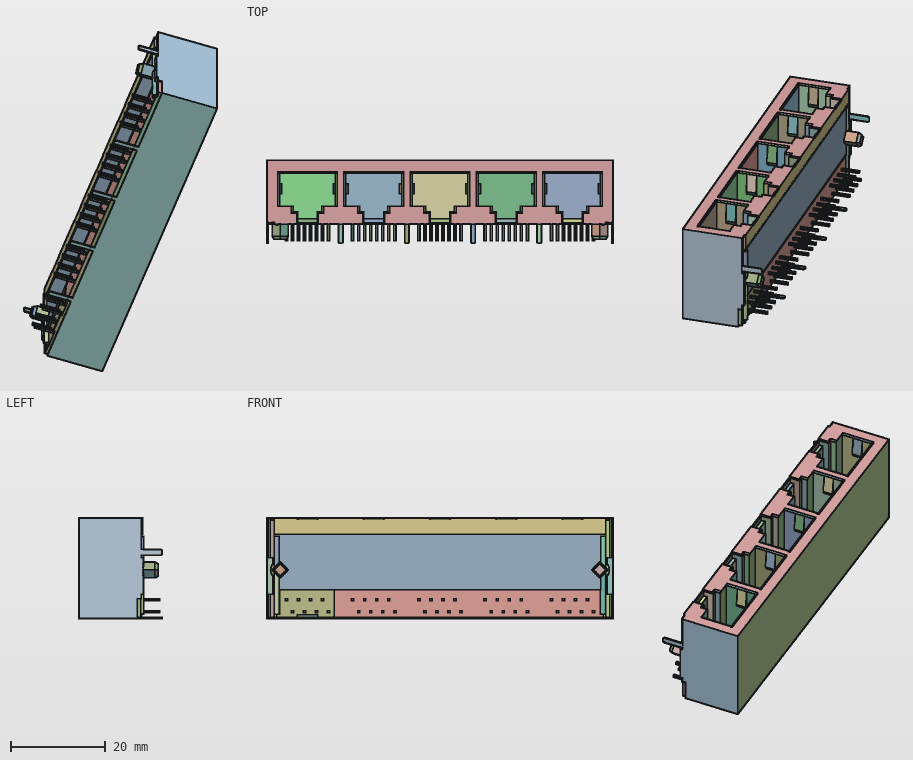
import cadquery as cq


LENGTH = 73.03
HEIGHT = 21.27
TOTAL_DEPTH = 17.55
BODY_DEPTH = 13.5
SHEET = 0.25
HALF_LENGTH = LENGTH / 2

PORT_COUNT = 5
PORT_PITCH = 13.97
PORT_DEPTH = 14.0
PORT_BACK = 2.5
PORT_WIDTH = 12.6
SHOULDER_Y = 9.7
STEP_WIDTH = 6.8
STEP_Y = 11.25
LATCH_WIDTH = 4.55
LEAD_IN = 0.4
LEAD_IN_BACK = 0.3
LEAD_IN_DEPTH = SHEET
LATCH_WALL = 0.3
LEDGE_Y = 12.35
LEDGE_DROP = 1.5

SPRING_Y = 6.05
SPRING_WIDTH = 2.15
SPRING_LENGTH = 5.0
SPRING_REACH = 0.5
SPRING_ROOT = 0.3
SPRING_TIP = 0.8

STRIP_HEIGHT = 3.5
PANEL_DEPTH = 13.3
LOWER_TOP = 15.2
LOWER_DEPTH = 13.15
RELIEF_DEPTH = 12.85
RELIEF_END = 14.2
SHEET_EDGE = 12.3
LIP_WIDTH = 4.3
LIP_HEIGHT = 0.8

MARGIN_WIDTH = 1.6
SIDE_SHEET_DEPTH = 13.2
MARGIN_DEPTH = 13.05
MARGIN_RIM = 0.75
MARGIN_RIM_TOP = 0.5
MARGIN_FLOOR = 12.9
FLAP_WIDTH = 1.2
FLAP_TOP = 8.4
FLAP_BOTTOM = 16.1
FLAP_DEPTH = 13.55
RIB_DEPTH = 13.7
RIB_RADIUS = 0.56
RIB_INSET = 2.11
RIB_TOP = 3.95
RIB_BOTTOM = 20.3
NOTCH_TOP = 17.1

PEG_INSET = 2.82
PEG_DROP = 11.0
PEG_RADIUS = 1.7
PEG_TIP_RADIUS = 1.3
PEG_SHOULDER = 16.05
PEG_END = 16.75
PEG_CLEARANCE = 2.0

PINS_PER_PORT = 8
PIN_PITCH = 1.27
PIN_WIDTH = 0.5
PIN_HEIGHT = 0.4
PIN_END = 17.05
UPPER_ROW = 17.3
LOWER_ROW = UPPER_ROW + 2 * PIN_PITCH

GROUND_WIDTH = 1.0
SIDE_PIN_WIDTH = 1.3
SIDE_PIN_DROP = 7.3
TIP_CHAMFER = 0.25
ROOT = 1.0
OVERCUT = 1.0


def block(left, right, back, front, top, bottom):
    """Box from X limits, distances from the back face and drops from the top face."""
    size = (right - left, front - back, bottom - top)
    corner = (left, -front, HEIGHT - bottom)
    return cq.Workplane("XY").box(*size, centered=False).translate(corner)


def end_block(inner, outer, back, front, top, bottom):
    """Box placed by its distances from the left end."""
    return block(inner - HALF_LENGTH, outer - HALF_LENGTH, back, front, top, bottom)


def both_ends(shape):
    return shape.union(shape.mirror("YZ"))


def port_centres():
    middle = (PORT_COUNT - 1) / 2
    return [(index - middle) * PORT_PITCH for index in range(PORT_COUNT)]


def port_outline(inset, back, step_y, front):
    """Stepped modular-jack outline, narrowing toward the latch slot."""
    half = PORT_WIDTH / 2 - inset
    step = STEP_WIDTH / 2 - inset
    latch = LATCH_WIDTH / 2 - inset / 2
    right_side = [
        (half, -back),
        (half, -SHOULDER_Y),
        (step, -SHOULDER_Y),
        (step, -step_y),
        (latch, -step_y),
        (latch, -front),
    ]
    left_side = [(-x, y) for x, y in reversed(right_side)]
    return right_side + left_side


def spring():
    """Wedge on the left wall of a port centred on X = 0."""
    wall = LEAD_IN - PORT_WIDTH / 2
    end = HEIGHT - SPRING_LENGTH
    profile = [
        (wall - SPRING_ROOT, HEIGHT - LEAD_IN_DEPTH),
        (wall, HEIGHT - LEAD_IN_DEPTH),
        (wall + SPRING_REACH, end + SPRING_TIP),
        (wall, end),
        (wall - SPRING_ROOT, end),
    ]
    wedge = cq.Workplane("XZ").polyline(profile).close().extrude(SPRING_WIDTH)
    return wedge.translate((0, SPRING_WIDTH / 2 - SPRING_Y, 0))


def port_cutter():
    latch_front = BODY_DEPTH - LATCH_WALL
    cavity_back = PORT_BACK + LEAD_IN_BACK
    inner_step = STEP_Y - LEAD_IN_BACK
    wall_outline = port_outline(LEAD_IN, cavity_back, inner_step, latch_front)
    inner = port_outline(LEAD_IN, cavity_back, inner_step, BODY_DEPTH)
    outer = port_outline(0, cavity_back, STEP_Y, BODY_DEPTH)
    floor = cq.Workplane("XY").workplane(offset=HEIGHT - PORT_DEPTH)
    cavity = floor.polyline(wall_outline).close().extrude(PORT_DEPTH)
    lead_in = (
        cq.Workplane("XY")
        .workplane(offset=HEIGHT - LEAD_IN_DEPTH)
        .polyline(inner)
        .close()
        .workplane(offset=LEAD_IN_DEPTH)
        .polyline(outer)
        .close()
        .loft(ruled=True)
    )
    ledge = block(-LATCH_WIDTH / 2, LATCH_WIDTH / 2, LEDGE_Y, BODY_DEPTH, LEDGE_DROP, PORT_DEPTH)
    back_ledge = block(-PORT_WIDTH / 2, PORT_WIDTH / 2, PORT_BACK, cavity_back, 0, LEAD_IN_DEPTH)
    return cavity.cut(ledge).cut(both_ends(spring())).union(lead_in).union(back_ledge)


def lower_zone():
    """Recess around the pins, deeper below the first port except for a small lip."""
    edge = HALF_LENGTH - RIB_INSET
    front = BODY_DEPTH + OVERCUT
    zone = block(-edge, edge, LOWER_DEPTH, front, LOWER_TOP, HEIGHT)
    relief = end_block(RIB_INSET, RELIEF_END, RELIEF_DEPTH, front, LOWER_TOP, HEIGHT - SHEET)
    first_port = port_centres()[0]
    lip = block(
        first_port - LIP_WIDTH / 2, first_port + LIP_WIDTH / 2,
        RELIEF_DEPTH, LOWER_DEPTH, HEIGHT - LIP_HEIGHT, HEIGHT - SHEET,
    )
    return zone.union(relief.cut(lip))


def bottom_sheet_edge():
    """Space in front of the bottom sheet, which stops short of the mounting face."""
    front = BODY_DEPTH + OVERCUT
    return block(-HALF_LENGTH, HALF_LENGTH, SHEET_EDGE, front, HEIGHT - SHEET, HEIGHT)


def panel_recess():
    edge = HALF_LENGTH - MARGIN_WIDTH
    return block(-edge, edge, PANEL_DEPTH, BODY_DEPTH + OVERCUT, STRIP_HEIGHT, HEIGHT + OVERCUT)


def end_recess():
    """Lowered margin at the left end with its inner floor and the shield corner notch."""
    front = BODY_DEPTH + OVERCUT
    below = HEIGHT + OVERCUT
    sheet_edge = end_block(-OVERCUT, MARGIN_WIDTH, SIDE_SHEET_DEPTH, front, -OVERCUT, below)
    margin = end_block(SHEET, MARGIN_WIDTH, MARGIN_DEPTH, front, SHEET, below)
    floor = end_block(MARGIN_RIM, MARGIN_WIDTH, MARGIN_FLOOR, front, MARGIN_RIM_TOP, HEIGHT - SHEET)
    notch = end_block(-OVERCUT, SHEET, SHEET_EDGE, front, NOTCH_TOP, below)
    return sheet_edge.union(margin).union(floor).union(notch)


def rib():
    """Round rib standing proud of the panel beside the left margin."""
    return (
        cq.Workplane("XY")
        .workplane(offset=HEIGHT - RIB_BOTTOM)
        .center(RIB_INSET - HALF_LENGTH, RIB_RADIUS - RIB_DEPTH)
        .circle(RIB_RADIUS)
        .extrude(RIB_BOTTOM - RIB_TOP)
    )


def flap():
    """Shield flap folded over the left margin, cut round to clear the peg."""
    plate = end_block(0, FLAP_WIDTH, BODY_DEPTH - ROOT, FLAP_DEPTH, FLAP_TOP, FLAP_BOTTOM)
    clearance = (
        cq.Workplane("XZ", origin=(PEG_INSET - HALF_LENGTH, -MARGIN_FLOOR, HEIGHT - PEG_DROP))
        .circle(PEG_CLEARANCE)
        .extrude(BODY_DEPTH)
    )
    return plate.cut(clearance)


def peg():
    root = BODY_DEPTH - ROOT
    start = (PEG_INSET - HALF_LENGTH, -root, HEIGHT - PEG_DROP)
    shank = (
        cq.Workplane("XZ", origin=start)
        .polygon(4, 2 * PEG_RADIUS)
        .extrude(PEG_SHOULDER - root)
    )
    return (
        shank.faces("<Y")
        .workplane(origin=(start[0], -PEG_SHOULDER, start[2]))
        .polygon(4, 2 * PEG_RADIUS)
        .workplane(offset=PEG_END - PEG_SHOULDER)
        .polygon(4, 2 * PEG_TIP_RADIUS)
        .loft(combine=True)
    )


def signal_pins():
    pins = cq.Workplane("XY")
    middle = (PINS_PER_PORT - 1) / 2
    for centre in port_centres():
        for index in range(PINS_PER_PORT):
            x = centre + (index - middle) * PIN_PITCH
            row = UPPER_ROW if index % 2 == 0 else LOWER_ROW
            pins = pins.add(
                block(
                    x - PIN_WIDTH / 2, x + PIN_WIDTH / 2, RELIEF_DEPTH - ROOT, PIN_END,
                    row - PIN_HEIGHT / 2, row + PIN_HEIGHT / 2,
                )
            )
    return pins.combine()


def ground_pins():
    """Shield pins standing out of the bottom sheet between the ports."""
    pins = cq.Workplane("XY")
    half = GROUND_WIDTH / 2
    for centre in port_centres()[:-1]:
        x = centre + PORT_PITCH / 2
        pin = block(x - half, x + half, SHEET_EDGE - ROOT, TOTAL_DEPTH, HEIGHT - SHEET, HEIGHT)
        pins = pins.add(pin.edges("<Y and |Z").chamfer(TIP_CHAMFER))
    return pins.combine()


def side_pin():
    """Shield pin standing out of the left side sheet."""
    half = SIDE_PIN_WIDTH / 2
    pin = end_block(
        0, SHEET, BODY_DEPTH - ROOT, TOTAL_DEPTH, SIDE_PIN_DROP - half, SIDE_PIN_DROP + half
    )
    return pin.edges("<Y and |X").chamfer(TIP_CHAMFER)


body = block(-HALF_LENGTH, HALF_LENGTH, 0, BODY_DEPTH, 0, HEIGHT)
body = body.cut(panel_recess()).cut(lower_zone()).cut(bottom_sheet_edge())
body = body.cut(both_ends(end_recess()))

cutter = port_cutter()
for port_x in port_centres():
    body = body.cut(cutter.translate((port_x, 0, 0)))

for end_feature in (rib(), flap(), peg(), side_pin()):
    body = body.union(both_ends(end_feature))

result = body.union(signal_pins()).union(ground_pins())